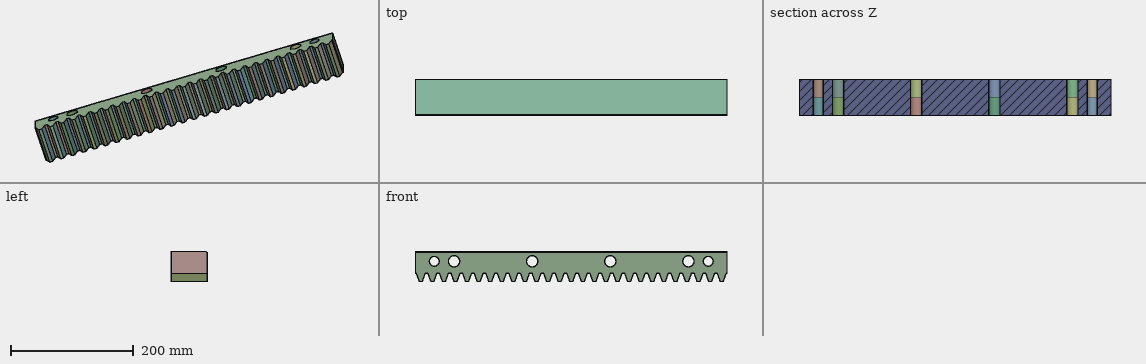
import cadquery as cq
import math

module = 6.0
pressure_angle = math.radians(20)
tooth_count = 27

length = 508.04
width = 59.0
height = 49.0
top_chamfer = 2.0

pitch = math.pi * module
addendum = module
dedendum = 1.25 * module
tooth_depth = addendum + dedendum
tip_half_width = pitch / 4 - addendum * math.tan(pressure_angle)
root_half_width = pitch / 4 + dedendum * math.tan(pressure_angle)

hole_z = height - 16.0
bolt_hole_diameter = 18.0
bolt_hole_count = 4
bolt_hole_spacing = tooth_count * pitch / bolt_hole_count
pin_hole_diameter = 15.7
pin_hole_count = 2
pin_hole_spacing = 446.1


def centered_positions(count, spacing):
    """X positions of evenly spaced items, symmetric about X = 0."""
    return [(i - (count - 1) / 2) * spacing for i in range(count)]


def tooth_outline(x):
    """Four corners of the tooth centred on x, from left root to right root."""
    return [
        (x - root_half_width, tooth_depth),
        (x - tip_half_width, 0),
        (x + tip_half_width, 0),
        (x + root_half_width, tooth_depth),
    ]


def make_toothed_bar():
    """Rack profile swept across the width."""
    outline = [(-length / 2, height), (-length / 2, tooth_depth)]
    for x in centered_positions(tooth_count, pitch):
        outline += tooth_outline(x)
    outline += [(length / 2, tooth_depth), (length / 2, height)]
    return cq.Workplane("XZ").polyline(outline).close().extrude(width / 2, both=True)


def make_holes(diameter, count, spacing):
    """Row of cylinders reaching through the full width."""
    centers = [(x, hole_z) for x in centered_positions(count, spacing)]
    return cq.Workplane("XZ").pushPoints(centers).circle(diameter / 2).extrude(width / 2, both=True)


bar = make_toothed_bar().faces(">Z").edges("<Y").chamfer(top_chamfer)
bolt_holes = make_holes(bolt_hole_diameter, bolt_hole_count, bolt_hole_spacing)
pin_holes = make_holes(pin_hole_diameter, pin_hole_count, pin_hole_spacing)
result = bar.cut(bolt_holes).cut(pin_holes)